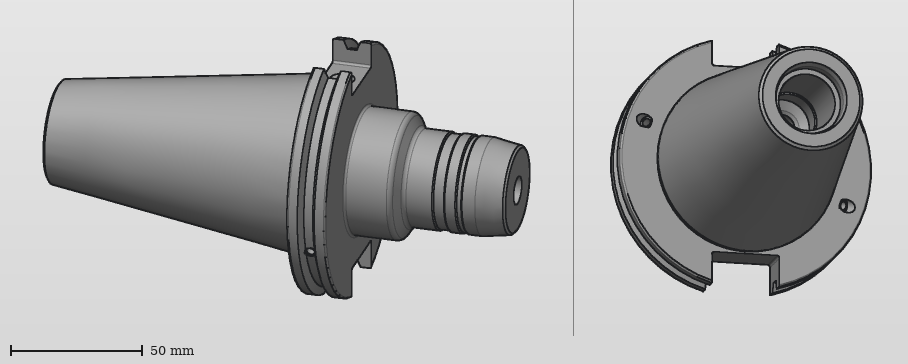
import cadquery as cq
import math

LENGTH = 182.1
TAPER_END_X = 101.6
LAND_END_X = 102.7
FLANGE_X = 105.0
FLANGE_THICKNESS = 15.3
FLANGE_END_X = FLANGE_X + FLANGE_THICKNESS
SHOULDER_X = 137.3
NOSE_X = 170.6

TAPER_DIAMETER = 70.0
TAPER_RATIO = 7 / 24
TAPER_FACE_DIAMETER = 38.0
TAPER_CHAMFER = 1.0
RELIEF_DIAMETER = 69.2
FLANGE_DIAMETER = 98.3
FLANGE_ROUND = 0.7
NECK_DIAMETER = 49.5
NECK_FILLET = 1.0
SHANK_DIAMETER = 38.0
SHOULDER_ANGLE = 58.0
SHOULDER_ROUND = 2.5
SHOULDER_FILLET = 2.0
NOSE_DIAMETER = 34.6
NOSE_CHAMFER = 1.0

FLANGE_GROOVE_X = 112.7
FLANGE_GROOVE_WIDTH = 6.7
FLANGE_GROOVE_DIAMETER = 91.5
FLANGE_GROOVE_FLANK = 25.0

SHANK_GROOVES = [(156.2, 5.1), (164.3, 2.7)]
SHANK_GROOVE_DIAMETER = 37.0
SHANK_GROOVE_FLANK = 45.0

RING_CLEARANCE = 1.0

MOUTH_DIAMETER = 27.9
MOUTH_DEPTH = 2.7
COUNTERBORE_DIAMETER = 26.2
COUNTERBORE_DEPTH = 7.1
UPPER_BORE_DIAMETER = 22.0
UPPER_BORE_DEPTH = 36.5
LOWER_BORE_DIAMETER = 20.5
LOWER_BORE_DEPTH = 45.5
BORE_CONE_ANGLE = 60.0
CHANNEL_STEP_DIAMETER = 13.5
CHANNEL_DIAMETER = 11.0

SLOT_WIDTH = 26.2
SLOT_FLOOR_TOP = 37.5
SLOT_FLOOR_BOTTOM = 35.3
SLOT_FILLET = 1.0
SPOT_DIAMETER = 9.5
SPOT_CONE_ANGLE = 60.0

COOLANT_ANGLE = 20.0
COOLANT_RADIUS = 42.0
COOLANT_TILT = 40.0
COOLANT_DIAMETER = 3.3
SLANTED_MOUTH_DIAMETER = 5.0
SLANTED_MOUTH_DEPTH = 1.8
RADIAL_MOUTH_DIAMETER = 4.2
RADIAL_MOUTH_DEPTH = 0.5


def cone_length(large_diameter, small_diameter, half_angle):
    """Axial length of a cone between two diameters."""
    return (large_diameter - small_diameter) / 2 / math.tan(math.radians(half_angle))


def revolve_about_x(profile):
    return profile.close().revolve(360, (0, 0, 0), (1, 0, 0))


def turned_body():
    taper_r = TAPER_DIAMETER / 2
    taper_start_r = taper_r - (TAPER_END_X - TAPER_CHAMFER) * TAPER_RATIO / 2
    flange_r = FLANGE_DIAMETER / 2
    neck_r = NECK_DIAMETER / 2
    shank_r = SHANK_DIAMETER / 2
    nose_r = NOSE_DIAMETER / 2

    sin_shoulder = math.sin(math.radians(SHOULDER_ANGLE))
    cos_shoulder = math.cos(math.radians(SHOULDER_ANGLE))
    cone_start_x = SHOULDER_X + SHOULDER_ROUND * sin_shoulder
    cone_start_r = neck_r - SHOULDER_ROUND * (1 - cos_shoulder)
    cone_end_r = shank_r + SHOULDER_FILLET * (1 - cos_shoulder)
    cone_end_x = cone_start_x + cone_length(2 * cone_start_r, 2 * cone_end_r, SHOULDER_ANGLE)
    shank_x = cone_end_x + SHOULDER_FILLET * sin_shoulder

    profile = (
        cq.Workplane("XY")
        .lineTo(0, TAPER_FACE_DIAMETER / 2)
        .lineTo(TAPER_CHAMFER, taper_start_r)
        .lineTo(TAPER_END_X, taper_r)
        .lineTo(LAND_END_X, taper_r)
        .lineTo(LAND_END_X + taper_r - RELIEF_DIAMETER / 2, RELIEF_DIAMETER / 2)
        .lineTo(FLANGE_X, RELIEF_DIAMETER / 2)
        .lineTo(FLANGE_X, flange_r - FLANGE_ROUND)
        .tangentArcPoint((FLANGE_X + FLANGE_ROUND, flange_r), relative=False)
        .lineTo(FLANGE_END_X - FLANGE_ROUND, flange_r)
        .tangentArcPoint((FLANGE_END_X, flange_r - FLANGE_ROUND), relative=False)
        .lineTo(FLANGE_END_X, neck_r + NECK_FILLET)
        .tangentArcPoint((FLANGE_END_X + NECK_FILLET, neck_r), relative=False)
        .lineTo(SHOULDER_X, neck_r)
        .tangentArcPoint((cone_start_x, cone_start_r), relative=False)
        .lineTo(cone_end_x, cone_end_r)
        .tangentArcPoint((shank_x, shank_r), relative=False)
        .lineTo(NOSE_X, shank_r)
        .lineTo(LENGTH - NOSE_CHAMFER, nose_r)
        .lineTo(LENGTH, nose_r - NOSE_CHAMFER)
        .lineTo(LENGTH, 0)
    )
    return revolve_about_x(profile)


def ring_groove(middle_x, width, surface_diameter, bottom_diameter, flank_angle):
    """Ring with sloping flanks; the width is measured at the surface it cuts into."""
    slope = math.tan(math.radians(flank_angle))
    bottom_r = bottom_diameter / 2
    outer_r = surface_diameter / 2 + RING_CLEARANCE
    half_bottom = width / 2 - (surface_diameter / 2 - bottom_r) * slope
    half_outer = width / 2 + RING_CLEARANCE * slope
    profile = (
        cq.Workplane("XY")
        .moveTo(middle_x - half_bottom, bottom_r)
        .lineTo(middle_x + half_bottom, bottom_r)
        .lineTo(middle_x + half_outer, outer_r)
        .lineTo(middle_x - half_outer, outer_r)
    )
    return revolve_about_x(profile)


def bore():
    counterbore_r = COUNTERBORE_DIAMETER / 2
    upper_r = UPPER_BORE_DIAMETER / 2
    lower_r = LOWER_BORE_DIAMETER / 2
    step_r = CHANNEL_STEP_DIAMETER / 2
    channel_r = CHANNEL_DIAMETER / 2
    cone_end_x = LOWER_BORE_DEPTH + cone_length(LOWER_BORE_DIAMETER, CHANNEL_STEP_DIAMETER, BORE_CONE_ANGLE)
    profile = (
        cq.Workplane("XY")
        .lineTo(0, MOUTH_DIAMETER / 2)
        .lineTo(MOUTH_DEPTH, counterbore_r)
        .lineTo(COUNTERBORE_DEPTH, counterbore_r)
        .lineTo(COUNTERBORE_DEPTH, upper_r)
        .lineTo(UPPER_BORE_DEPTH, upper_r)
        .lineTo(UPPER_BORE_DEPTH, lower_r)
        .lineTo(LOWER_BORE_DEPTH, lower_r)
        .lineTo(cone_end_x, step_r)
        .lineTo(cone_end_x + step_r - channel_r, channel_r)
        .lineTo(LENGTH, channel_r)
        .lineTo(LENGTH, 0)
    )
    return revolve_about_x(profile)


def drive_slot(floor, side):
    """Slot through the flange, open at the rim; side is 1 for the top and -1 for the bottom."""
    height = FLANGE_DIAMETER / 2
    center_x = FLANGE_X + FLANGE_THICKNESS / 2
    block = cq.Workplane("XY").box(FLANGE_THICKNESS, SLOT_WIDTH, height)
    block = block.edges("|X and " + ("<Z" if side > 0 else ">Z")).fillet(SLOT_FILLET)
    return block.translate((center_x, 0, side * (floor + height / 2)))


def spot():
    """Conical drill spot in the floor of the top slot."""
    depth = cone_length(SPOT_DIAMETER, 0, SPOT_CONE_ANGLE)
    cone = cq.Solid.makeCone(
        SPOT_DIAMETER / 2, 0, depth, cq.Vector(FLANGE_GROOVE_X, 0, SLOT_FLOOR_TOP), cq.Vector(0, 0, -1)
    )
    return cq.Workplane(cone)


def stepped_hole(entry, direction, mouth_diameter, mouth_depth, reach):
    """Coolant hole with a wider mouth, which starts outside the entry point to clear the surface."""
    lead = mouth_diameter
    mouth = cq.Solid.makeCylinder(mouth_diameter / 2, lead + mouth_depth, entry - direction * lead, direction)
    channel = cq.Solid.makeCylinder(COOLANT_DIAMETER / 2, reach, entry, direction)
    return cq.Workplane(mouth).union(cq.Workplane(channel))


def coolant_holes():
    """Slanted hole in the +Y side of the flange and the radial hole that meets it."""
    tilt = math.radians(COOLANT_TILT)
    slant = cq.Vector(math.cos(tilt), -math.sin(tilt), 0)
    face_entry = cq.Vector(FLANGE_X, COOLANT_RADIUS, 0)
    slant_reach = (FLANGE_GROOVE_X - FLANGE_X) / math.cos(tilt)
    slanted = stepped_hole(face_entry, slant, SLANTED_MOUTH_DIAMETER, SLANTED_MOUTH_DEPTH, slant_reach)

    inward = cq.Vector(0, -1, 0)
    groove_entry = cq.Vector(FLANGE_GROOVE_X, FLANGE_GROOVE_DIAMETER / 2, 0)
    meeting_radius = COOLANT_RADIUS - slant_reach * math.sin(tilt)
    radial_reach = FLANGE_GROOVE_DIAMETER / 2 - meeting_radius
    radial = stepped_hole(groove_entry, inward, RADIAL_MOUTH_DIAMETER, RADIAL_MOUTH_DEPTH, radial_reach)
    return slanted.union(radial)


result = turned_body()
result = result.cut(
    ring_groove(
        FLANGE_GROOVE_X, FLANGE_GROOVE_WIDTH, FLANGE_DIAMETER, FLANGE_GROOVE_DIAMETER, FLANGE_GROOVE_FLANK
    )
)
for groove_x, groove_width in SHANK_GROOVES:
    result = result.cut(
        ring_groove(groove_x, groove_width, SHANK_DIAMETER, SHANK_GROOVE_DIAMETER, SHANK_GROOVE_FLANK)
    )
result = result.cut(bore())
result = result.cut(drive_slot(SLOT_FLOOR_TOP, 1))
result = result.cut(drive_slot(SLOT_FLOOR_BOTTOM, -1))
result = result.cut(spot())
for side_angle in (0, 180):
    result = result.cut(coolant_holes().rotate((0, 0, 0), (1, 0, 0), COOLANT_ANGLE + side_angle))